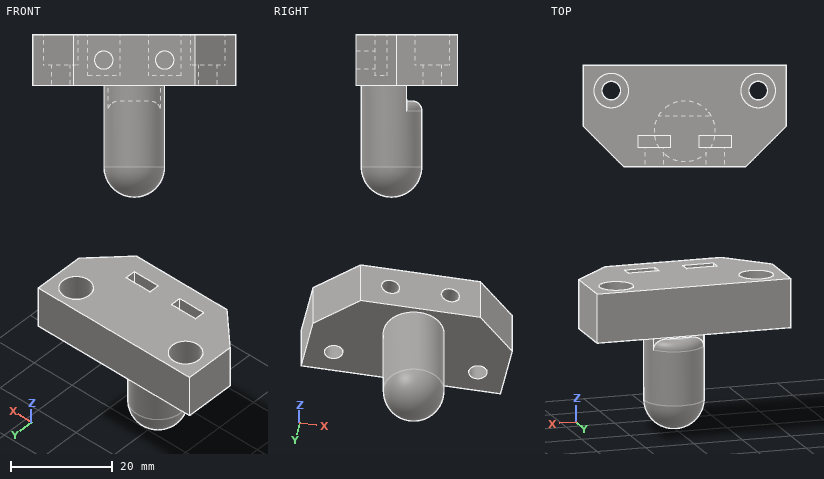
import cadquery as cq

block_length = 40.0
block_depth = 20.0
block_height = 10.0
corner_cut = 8.0
front_y = -block_depth / 2

mount_spacing = 28.9
mount_y = 5.0
mount_diameter = 3.6
counterbore_diameter = 6.8
counterbore_depth = 6.0

screw_spacing = 12.0
screw_diameter = 3.6
screw_z = block_height / 2
nut_slot_length = 6.3
nut_slot_width = 2.4
nut_slot_y = front_y + 4.95
nut_slot_depth = 8.0
screw_depth = nut_slot_y + nut_slot_width / 2 - front_y

pin_diameter = 12.0
pin_radius = pin_diameter / 2
pin_straight = 16.0
pin_y = front_y + 7.0
relief_height = 3.0
relief_offset = 3.0
shoulder_radius = 2.0


def make_block():
    """Plate with its two front corners cut off, mount holes, nut slots and screw holes."""
    block = (
        cq.Workplane("XY")
        .box(block_length, block_depth, block_height, centered=(True, True, False))
        .edges("|Z and <Y")
        .chamfer(corner_cut)
    )
    for side in (-1, 1):
        mount = (
            cq.Workplane("XY")
            .center(side * mount_spacing / 2, mount_y)
            .circle(mount_diameter / 2)
            .extrude(block_height)
        )
        counterbore = (
            cq.Workplane("XY", origin=(0, 0, block_height - counterbore_depth))
            .center(side * mount_spacing / 2, mount_y)
            .circle(counterbore_diameter / 2)
            .extrude(counterbore_depth)
        )
        nut_slot = (
            cq.Workplane("XY", origin=(0, 0, block_height - nut_slot_depth))
            .center(side * screw_spacing / 2, nut_slot_y)
            .rect(nut_slot_length, nut_slot_width)
            .extrude(nut_slot_depth)
        )
        screw = (
            cq.Workplane("XZ", origin=(side * screw_spacing / 2, front_y, screw_z))
            .circle(screw_diameter / 2)
            .extrude(-screw_depth)
        )
        block = block.cut(mount).cut(counterbore).cut(nut_slot).cut(screw)
    return block


def make_pin():
    """Pin of full section below the relief and a flatted neck joining the block."""
    neck = (
        cq.Workplane("XY")
        .circle(pin_radius)
        .extrude(-pin_straight)
        .intersect(
            cq.Workplane("XY")
            .center(0, relief_offset - pin_radius)
            .rect(pin_diameter, pin_diameter)
            .extrude(-pin_straight)
        )
    )
    shank = (
        cq.Workplane("XY", origin=(0, 0, -relief_height))
        .circle(pin_radius)
        .extrude(relief_height - pin_straight)
        .faces(">Z")
        .edges()
        .fillet(shoulder_radius)
    )
    nose = cq.Workplane("XY", origin=(0, 0, -pin_straight)).sphere(pin_radius)
    return shank.union(neck).union(nose).translate((0, pin_y, 0))


result = make_block().union(make_pin())